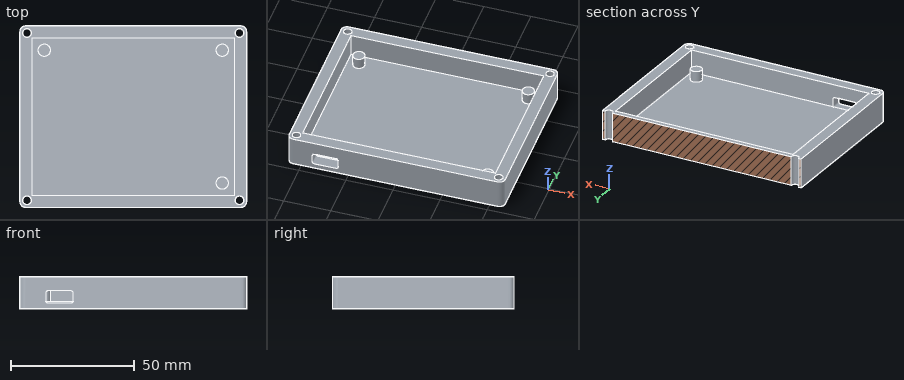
import cadquery as cq

length = 91.8
width = 73.5
height = 13.0
corner_radius = 2.5
wall = 5.0
floor_thickness = 3.0

screw_hole_diameter = 3.4
screw_hole_inset = 2.9

post_diameter = 5.0
post_inset = 9.9
post_height = 4.8

slot_length = 11.0
slot_height = 5.05
slot_corner_radius = 1.0
slot_start = 10.6
slot_bottom = 2.3
slot_depth = wall


def make_tray():
    """Rounded box with a rectangular cavity open at the top."""
    body = (
        cq.Workplane("XY")
        .box(length, width, height, centered=(True, True, False))
        .edges("|Z")
        .fillet(corner_radius)
    )
    cavity = (
        cq.Workplane("XY")
        .workplane(offset=floor_thickness)
        .rect(length - 2 * wall, width - 2 * wall)
        .extrude(height - floor_thickness)
    )
    return body.cut(cavity)


def make_screw_holes():
    """One vertical hole in each corner, through the full height."""
    return (
        cq.Workplane("XY")
        .rect(length - 2 * screw_hole_inset, width - 2 * screw_hole_inset, forConstruction=True)
        .vertices()
        .circle(screw_hole_diameter / 2)
        .extrude(height)
    )


def make_posts():
    """Posts in three of the four cavity corners; the one beside the slot has none."""
    post_x = length / 2 - post_inset
    post_y = width / 2 - post_inset
    return (
        cq.Workplane("XY")
        .pushPoints([(-post_x, post_y), (post_x, post_y), (post_x, -post_y)])
        .circle(post_diameter / 2)
        .extrude(floor_thickness + post_height)
    )


def make_slot():
    """Rounded connector opening, cut slightly into the floor."""
    return (
        cq.Workplane("XY")
        .box(slot_length, slot_depth, slot_height, centered=False)
        .edges("|Y")
        .fillet(slot_corner_radius)
        .translate((slot_start - length / 2, -width / 2, slot_bottom))
    )


result = make_tray().union(make_posts()).cut(make_screw_holes()).cut(make_slot())